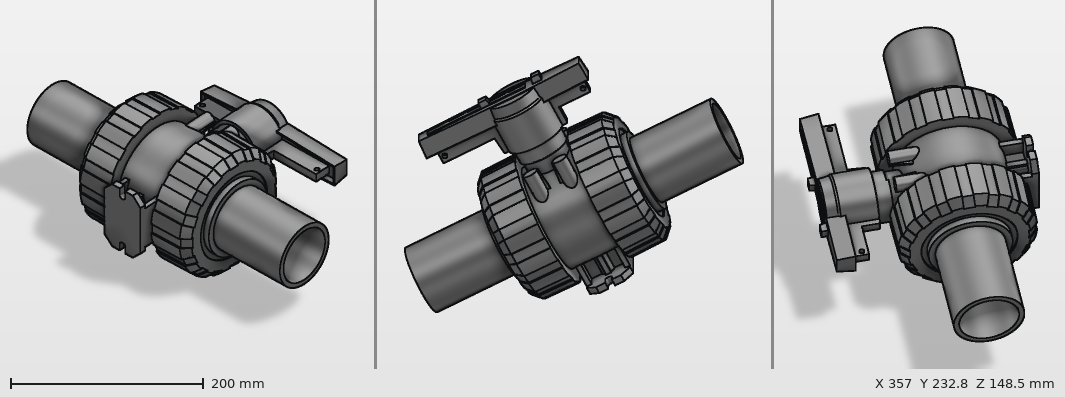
import cadquery as cq
import math


length = 357.0
pipe_diameter = 75.0
bore_diameter = 63.5
collar_diameter = 89.2
collar_length = 169.5
body_diameter = 117.0

nut_height = 148.5
nut_mouth_x = 30.7
nut_end_x = 79.3
nut_chamfer = 9.0
nut_draft = 0.7
slot_count = 16
slot_width = 12.0
slot_depth = 1.8
nut_recess_diameter = 102.0
nut_recess_depth = 1.8

foot_y = -85.0
plate_thickness = 7.5
plate_width = 50.7
plate_height = 81.0
plate_chamfer = 10.7
notch_width = 8.0
notch_depth = 12.0
foot_height = 50.7
foot_wall = 5.7
foot_web_height = 18.0
foot_rib_width = 6.0
foot_rib_height = 37.0
foot_boss_diameter = 14.3
foot_boss_z = 9.0

peg_diameter = 16.0
peg_x = 17.0
peg_z = 40.0
peg_top_y = 66.0
fin_foot_y = 39.3
fin_thickness = 2.0
fin_top_width = 1.0
fin_foot_width = 3.5

stem_diameter = 50.0
neck_diameter = 54.5
neck_bottom_y = 69.3
neck_step = 2.0
hub_diameter = 63.5
hub_bottom_y = 85.7
hub_side_top_y = 125.5
hub_shoulder_y = 128.0
cap_bottom_diameter = 61.0
cap_top_diameter = 58.0
cap_top_y = 140.0

bar_left_x = -79.5
bar_right_x = 109.5
bar_end_draft = 1.0
bar_bottom_y = 120.5
bar_top_y = 140.5
bar_hub_bottom_width = 35.0
bar_hub_top_width = 30.7
bar_end_bottom_width = 25.0
bar_end_top_width = 20.0
bar_wall = 1.8
pocket_depth = 4.5

web_thickness = 10.0
web_left_x = -74.0
web_right_x = 97.8
web_bottom_y = 105.3
web_top_y = bar_bottom_y + pocket_depth
lug_left_x = -37.0
lug_right_x = 38.2
lug_taper = 1.8
lug_corner_radius = 1.8
web_hole_diameter = 5.5
web_hole_inset = 5.0
web_hole_y = 112.0

pointer_top_y = 147.8
pointer_outer_x = 35.5
pointer_top_width = 9.0
pointer_base_width = 10.7
pad_left_x = -16.5
pad_right_x = 97.8
pad_height = 1.0
pad_width = 10.0

body_radius = body_diameter / 2


def along_x(diameter, start_x, end_x):
    return cq.Workplane("YZ", origin=(start_x, 0, 0)).circle(diameter / 2).extrude(end_x - start_x)


def along_y(diameter, start_y, end_y, x=0.0, z=0.0):
    plane = cq.Plane(origin=(x, start_y, z), xDir=(1, 0, 0), normal=(0, 1, 0))
    return cq.Workplane(plane).circle(diameter / 2).extrude(end_y - start_y)


def block(x_range, y_range, z_range):
    size = [high - low for low, high in (x_range, y_range, z_range)]
    return cq.Workplane("XY").box(*size, centered=False).translate((x_range[0], y_range[0], z_range[0]))


def side_plate(points, thickness):
    """Outline in X and Y, thickened evenly to both sides of Z = 0."""
    return cq.Workplane("XY").polyline(points).close().extrude(thickness / 2, both=True)


def nut_solid(mouth_radius):
    shoulder_radius = mouth_radius - nut_draft
    return (
        cq.Workplane("XY")
        .moveTo(nut_mouth_x, 0)
        .lineTo(nut_mouth_x, mouth_radius)
        .lineTo(nut_end_x - nut_chamfer, shoulder_radius)
        .lineTo(nut_end_x, shoulder_radius - nut_chamfer)
        .lineTo(nut_end_x, 0)
        .close()
        .revolve(360, (0, 0, 0), (1, 0, 0))
    )


def nut():
    rib_radius = math.hypot(nut_height / 2, slot_width / 2)
    ribs = nut_solid(rib_radius)
    slot = block((0, length), (-slot_width / 2, slot_width / 2), (body_radius / 2, rib_radius + slot_depth))
    for index in range(slot_count):
        ribs = ribs.cut(slot.rotate((0, 0, 0), (1, 0, 0), index * 360 / slot_count))
    recess = along_x(nut_recess_diameter, nut_end_x - nut_recess_depth, nut_end_x)
    return nut_solid(rib_radius - slot_depth).union(ribs).cut(recess)


def flow_body():
    right_nut = nut()
    return (
        along_x(body_diameter, -nut_end_x / 2, nut_end_x / 2)
        .union(right_nut)
        .union(right_nut.mirror("YZ"))
        .union(along_x(collar_diameter, -collar_length / 2, collar_length / 2))
        .union(along_x(pipe_diameter, -length / 2, length / 2))
    )


def foot():
    plate_back_y = foot_y + plate_thickness
    plate = (
        block((-plate_width / 2, plate_width / 2), (foot_y, plate_back_y), (-plate_height / 2, plate_height / 2))
        .edges("|Y")
        .chamfer(plate_chamfer)
    )
    notch_center_z = plate_height / 2 - notch_depth + notch_width / 2
    pedestal_y = (plate_back_y, -bore_diameter / 2)

    def column(x_range, height):
        return block(x_range, pedestal_y, (-height / 2, height / 2))

    wall_inner_x = plate_width / 2 - foot_wall
    shape = plate.union(column((-plate_width / 2, plate_width / 2), foot_web_height))
    shape = shape.union(column((-foot_rib_width / 2, foot_rib_width / 2), foot_rib_height))
    for side in (-1, 1):
        wall_x = sorted((side * wall_inner_x, side * plate_width / 2))
        shape = shape.union(column(wall_x, foot_height))
        shape = shape.union(along_y(foot_boss_diameter, *pedestal_y, z=side * foot_boss_z))
        notch_z = sorted((side * notch_center_z, side * plate_height))
        notch = block((-notch_width / 2, notch_width / 2), (foot_y, plate_back_y), notch_z)
        notch_end = along_y(notch_width, foot_y, plate_back_y, z=side * notch_center_z)
        shape = shape.cut(notch).cut(notch_end)
    return shape


def pegs():
    """Four pegs rooted in the body, each with a thin fin on the side facing X = 0."""
    peg_edge_x = peg_x - peg_diameter / 2
    peg = along_y(peg_diameter, 0, peg_top_y, peg_x, peg_z)
    fin_points = [
        (peg_x, fin_foot_y),
        (peg_edge_x - fin_foot_width, fin_foot_y),
        (peg_edge_x - fin_top_width, peg_top_y),
        (peg_x, peg_top_y),
    ]
    peg = peg.union(side_plate(fin_points, fin_thickness).translate((0, 0, peg_z)))
    pair = peg.union(peg.mirror("YZ"))
    return pair.union(pair.mirror("XY"))


def stem_and_hub():
    hub = (
        cq.Workplane("XY")
        .moveTo(0, 0)
        .lineTo(stem_diameter / 2, 0)
        .lineTo(stem_diameter / 2, neck_bottom_y)
        .lineTo(neck_diameter / 2, neck_bottom_y)
        .lineTo(neck_diameter / 2, hub_bottom_y)
        .lineTo(hub_diameter / 2, hub_bottom_y)
        .lineTo(hub_diameter / 2, hub_side_top_y)
        .lineTo(cap_bottom_diameter / 2, hub_shoulder_y)
        .lineTo(cap_top_diameter / 2, cap_top_y)
        .lineTo(0, cap_top_y)
        .close()
    )
    shape = hub.revolve(360, (0, 0, 0), (0, 1, 0))
    rim_y = (neck_bottom_y, neck_bottom_y + neck_step)
    quarter = block((0, neck_diameter), rim_y, (0, neck_diameter))
    return shape.cut(quarter.cut(along_y(stem_diameter, *rim_y)))


def bar_loft(end_x, inset, top_y):
    """Trapezoid section that narrows from the hub to the end, inset on the sides and the end."""

    def section(bottom_width, top_width):
        return [
            (bar_bottom_y, inset - bottom_width / 2),
            (top_y, inset - top_width / 2),
            (top_y, top_width / 2 - inset),
            (bar_bottom_y, bottom_width / 2 - inset),
        ]

    return (
        cq.Workplane("YZ")
        .polyline(section(bar_hub_bottom_width, bar_hub_top_width))
        .close()
        .workplane(offset=end_x - math.copysign(inset, end_x))
        .polyline(section(bar_end_bottom_width, bar_end_top_width))
        .close()
        .loft(ruled=True)
    )


def bar_arm(end_x):
    """One arm of the bar, hollow and open towards the valve body."""
    top_end_x = end_x - math.copysign(bar_end_draft, end_x)
    outline = [(0, bar_bottom_y), (end_x, bar_bottom_y), (top_end_x, bar_top_y), (0, bar_top_y)]
    arm = bar_loft(end_x, 0, bar_top_y).intersect(side_plate(outline, bar_hub_bottom_width))
    return arm.cut(bar_loft(end_x, bar_wall, bar_bottom_y + pocket_depth))


def web():
    outline = [
        (web_left_x, web_top_y),
        (web_left_x, web_bottom_y),
        (lug_left_x, web_bottom_y),
        (lug_left_x, hub_bottom_y),
        (lug_right_x - lug_taper, hub_bottom_y),
        (lug_right_x, web_bottom_y),
        (web_right_x, web_bottom_y),
        (web_right_x, web_top_y),
    ]
    holes = (
        cq.Workplane("XY")
        .pushPoints([(web_left_x + web_hole_inset, web_hole_y), (web_right_x - web_hole_inset, web_hole_y)])
        .circle(web_hole_diameter / 2)
        .extrude(web_thickness, both=True)
    )
    plate = side_plate(outline, web_thickness)
    plate = plate.faces("<Y").edges("|Z").fillet(lug_corner_radius)
    return plate.cut(holes)


def pointers():
    outline = [
        (pointer_outer_x, bar_top_y),
        (pointer_outer_x, pointer_top_y),
        (pointer_outer_x - pointer_top_width, pointer_top_y),
        (pointer_outer_x - pointer_base_width, bar_top_y),
    ]
    pointer = side_plate(outline, web_thickness)
    return pointer.union(pointer.mirror("YZ"))


def handle():
    pad = block((pad_left_x, pad_right_x), (cap_top_y, bar_top_y + pad_height), (-pad_width / 2, pad_width / 2))
    bar = bar_arm(bar_left_x).union(bar_arm(bar_right_x))
    return stem_and_hub().union(bar).union(web()).union(pointers()).union(pad)


bore = along_x(bore_diameter, -length, length)
result = flow_body().union(foot()).union(pegs()).union(handle()).cut(bore)